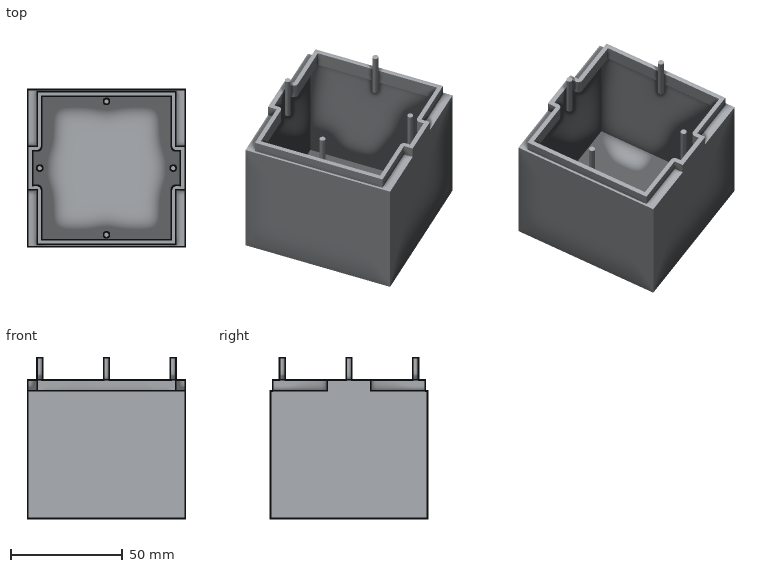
import cadquery as cq

LENGTH_X = 70.9
LENGTH_Y = 70.8
SHOULDER_HEIGHT = 57.5
RIM_HEIGHT = 62.5
FLOOR = 2.0
WALL = 2.25

RIM_X = 62.5
RIM_Y = 68.65
RIM_WALL = 2.0
TAB_WIDTH = 19.6
LIP_DEPTH = 6.95
MOUTH_RADIUS = 2.0

PIN_DIAMETER = 2.7
PIN_TOP = 72.5
PIN_LENGTH = 20.5
PIN_OFFSET = 30.0
PIN_DIRECTIONS = [(1, 0), (0, 1), (-1, 0), (0, -1)]

CAVITY_X = LENGTH_X - 2 * WALL
CAVITY_Y = LENGTH_Y - 2 * WALL


def block(size_x, size_y, bottom, top):
    """Box centred on the Z axis, from bottom to top."""
    return cq.Workplane("XY").workplane(offset=bottom).rect(size_x, size_y).extrude(top - bottom)


def make_mouth():
    """Cross-shaped opening through the rim, with its inward corners rounded."""
    bottom = RIM_HEIGHT - LIP_DEPTH
    mouth_x = RIM_X - 2 * RIM_WALL
    mouth_y = RIM_Y - 2 * RIM_WALL
    tab_opening = TAB_WIDTH - 2 * RIM_WALL
    mouth = block(mouth_x, mouth_y, bottom, RIM_HEIGHT)
    mouth = mouth.union(block(CAVITY_X, tab_opening, bottom, RIM_HEIGHT))
    corners = cq.selectors.BoxSelector(
        (-mouth_x / 2 - 0.7, -tab_opening / 2 - 0.7, bottom),
        (mouth_x / 2 + 0.7, tab_opening / 2 + 0.7, RIM_HEIGHT),
    )
    return mouth.edges("|Z").edges(corners).fillet(MOUTH_RADIUS)


def make_housing():
    """Open box with a stepped rim and a cavity wider than its mouth."""
    body = block(LENGTH_X, LENGTH_Y, 0, SHOULDER_HEIGHT)
    rim = block(RIM_X, RIM_Y, SHOULDER_HEIGHT, RIM_HEIGHT)
    tabs = block(LENGTH_X, TAB_WIDTH, SHOULDER_HEIGHT, RIM_HEIGHT)
    cavity = block(CAVITY_X, CAVITY_Y, FLOOR, RIM_HEIGHT - LIP_DEPTH)
    return body.union(rim).union(tabs).cut(cavity).cut(make_mouth())


def make_pin(x, y):
    """Upright round pin ending above the rim."""
    bottom = PIN_TOP - PIN_LENGTH
    return cq.Workplane("XY", origin=(x, y, bottom)).circle(PIN_DIAMETER / 2).extrude(PIN_LENGTH)


housing = make_housing()
pins = [make_pin(dx * PIN_OFFSET, dy * PIN_OFFSET) for dx, dy in PIN_DIRECTIONS]

result = cq.Compound.makeCompound([housing.val(), *[pin.val() for pin in pins]])